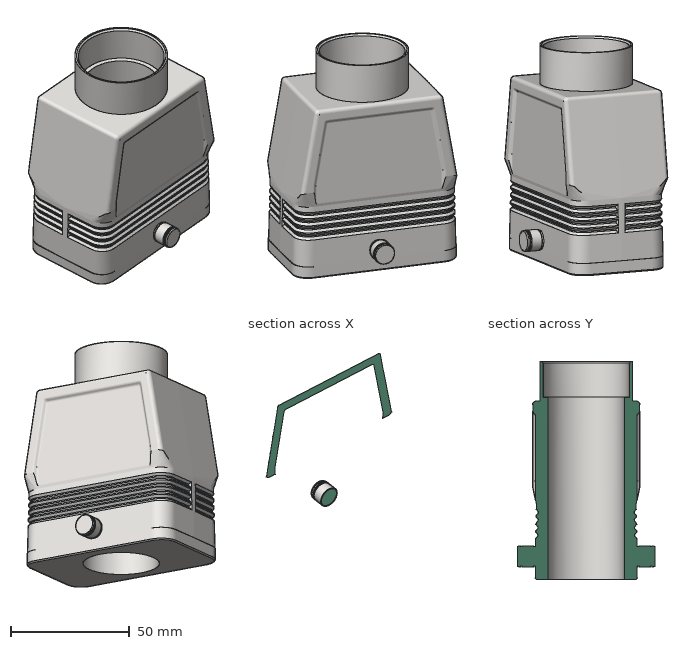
import cadquery as cq
import math

TOTAL_HEIGHT = 91.75
HOOD_TOP = 75.2
FLARE_TOP = 38.9
BODY_TOP = 31.9
BAND_TOP = 5.3
BOTTOM_CHAMFER = 0.55

BAND_HALF_X = 21.6
BAND_HALF_Y = 36.5
BAND_RADIUS = 7.25

BODY_TAPER = 0.5
BODY_RADIUS = 6.9
BODY_RIDGE_SLOPE = 0.02

GROOVE_BOTTOM = 17.25
GROOVE_TOP = 29.5
GROOVE_COUNT = 4
GROOVE_DEPTH = 0.9
GROOVE_LAND = 0.55
GROOVE_FLOOR = 0.55
BRIDGE_HALF_WIDTH = 1.3
BRIDGE_FLARE = 1.0

HOOD_HALF_X = 22.6
HOOD_END_SLOPE = 0.175
HOOD_RIDGE_SLOPE = 0.008
HOOD_FILLET = 1.65
FLARE_END_SLOPE = 0.115

PANEL_DEPTH = 1.2
PANEL_TOP = 70.4
PANEL_KNEE = 41.6
PANEL_HALF_TOP = 24.3
PANEL_HALF_BOTTOM = 29.3
PANEL_WALL_RUN = 1.1
PANEL_CORNER = 1.4
PANEL_EDGE_FILLET = 0.9

PICK_MARGIN = 0.1

TUBE_RADIUS = 19.5
TUBE_BORE_RADIUS = 18.1
TUBE_BORE_CHAMFER = 0.7
TUBE_ROOT = 55.05
TUBE_BORE_FLOOR = 76.7
THROUGH_RADIUS = 16.1

PIN_RADIUS = 4.5
PIN_HEIGHT = 9.7
PIN_TIP = 29.0
PIN_ROOT = 18.35
PIN_TIP_CHAMFER_LENGTH = 0.6
PIN_TIP_CHAMFER_DROP = 0.3
PIN_GROOVE_START = 27.0
PIN_GROOVE_END = 27.6
PIN_NECK_END = 22.3
PIN_UNDERCUT = 0.3


def outline(z, half_x, half_y, radius, ridge_slope):
    """Rounded rectangle whose two Y sides rise by ridge_slope to a point at X = 0."""
    tilt = math.atan(ridge_slope)
    end_angle = math.pi / 2 - tilt
    middle_angle = end_angle / 2
    center_x = half_x - radius
    center_y = half_y - ridge_slope * center_x - radius / math.cos(tilt)

    def corner(sign_x, sign_y, angle):
        x = center_x + radius * math.cos(angle)
        y = center_y + radius * math.sin(angle)
        return (sign_x * x, sign_y * y)

    return (
        cq.Workplane("XY", origin=(0, 0, z))
        .moveTo(*corner(1, -1, 0))
        .lineTo(*corner(1, 1, 0))
        .threePointArc(corner(1, 1, middle_angle), corner(1, 1, end_angle))
        .lineTo(0, half_y)
        .lineTo(*corner(-1, 1, end_angle))
        .threePointArc(corner(-1, 1, middle_angle), corner(-1, 1, 0))
        .lineTo(*corner(-1, -1, 0))
        .threePointArc(corner(-1, -1, middle_angle), corner(-1, -1, end_angle))
        .lineTo(0, -half_y)
        .lineTo(*corner(1, -1, end_angle))
        .threePointArc(corner(1, -1, middle_angle), corner(1, -1, 0))
        .close()
        .wires()
        .val()
    )


def ruled_solid(*wires):
    return cq.Workplane(cq.Solid.makeLoft(list(wires), True))


def body_half_sizes(z):
    shrink = BODY_TAPER * (z - BAND_TOP) / (BODY_TOP - BAND_TOP)
    return BAND_HALF_X - shrink, BAND_HALF_Y - shrink


def body_outline(z, inset=0.0):
    half_x, half_y = body_half_sizes(z)
    return outline(z, half_x - inset, half_y - inset, BODY_RADIUS - inset, BODY_RIDGE_SLOPE)


def make_band():
    chamfered = outline(
        0,
        BAND_HALF_X - BOTTOM_CHAMFER,
        BAND_HALF_Y - BOTTOM_CHAMFER,
        BAND_RADIUS - BOTTOM_CHAMFER,
        0,
    )
    full = [
        outline(z, BAND_HALF_X, BAND_HALF_Y, BAND_RADIUS, 0)
        for z in (BOTTOM_CHAMFER, BAND_TOP)
    ]
    return ruled_solid(chamfered, *full)


def make_grooved_body():
    """Stack of tapered slices: each groove is a flank, a floor and a flank."""
    pitch = (GROOVE_TOP - GROOVE_BOTTOM + GROOVE_LAND) / GROOVE_COUNT
    flank = (pitch - GROOVE_LAND - GROOVE_FLOOR) / 2
    wires = [body_outline(BAND_TOP)]
    for i in range(GROOVE_COUNT):
        start = GROOVE_BOTTOM + i * pitch
        wires.append(body_outline(start))
        wires.append(body_outline(start + flank, GROOVE_DEPTH))
        wires.append(body_outline(start + flank + GROOVE_FLOOR, GROOVE_DEPTH))
        wires.append(body_outline(start + 2 * flank + GROOVE_FLOOR))
    wires.append(body_outline(BODY_TOP))
    return ruled_solid(*wires)


def make_bridges():
    """Plain strips at the middle of both end faces, where the grooves stop."""
    inner_half = BRIDGE_HALF_WIDTH + BRIDGE_FLARE
    outer_y = BAND_HALF_Y
    inner_y = BAND_HALF_Y - BODY_TAPER - GROOVE_DEPTH
    strip = (
        cq.Workplane("XY", origin=(0, 0, GROOVE_BOTTOM))
        .polyline([
            (-BRIDGE_HALF_WIDTH, outer_y),
            (BRIDGE_HALF_WIDTH, outer_y),
            (inner_half, inner_y),
            (inner_half, -inner_y),
            (BRIDGE_HALF_WIDTH, -outer_y),
            (-BRIDGE_HALF_WIDTH, -outer_y),
            (-inner_half, -inner_y),
            (-inner_half, inner_y),
        ])
        .close()
        .extrude(GROOVE_TOP - GROOVE_BOTTOM)
    )
    plain = ruled_solid(body_outline(GROOVE_BOTTOM), body_outline(GROOVE_TOP))
    return strip.intersect(plain)


def make_wedge():
    bottom_half_y = body_half_sizes(BODY_TOP)[1]
    top_half_y = bottom_half_y - HOOD_END_SLOPE * (HOOD_TOP - BODY_TOP)
    sharp = []
    for z, half_y in ((BODY_TOP, bottom_half_y), (HOOD_TOP, top_half_y)):
        side_y = half_y - HOOD_RIDGE_SLOPE * HOOD_HALF_X
        sharp.append(
            cq.Workplane("XY", origin=(0, 0, z))
            .polyline([
                (HOOD_HALF_X, -side_y),
                (HOOD_HALF_X, side_y),
                (0, half_y),
                (-HOOD_HALF_X, side_y),
                (-HOOD_HALF_X, -side_y),
                (0, -half_y),
            ])
            .close()
            .wires()
            .val()
        )
    wedge = ruled_solid(*sharp)
    corners = wedge.edges("<X or >X").edges("not #Z")
    return corners.add(wedge.edges(">Z")).fillet(HOOD_FILLET)


def panel_outline(x, inset):
    top = PANEL_TOP - inset
    half_top = PANEL_HALF_TOP - inset
    half_bottom = PANEL_HALF_BOTTOM - inset
    return (
        cq.Workplane("YZ", origin=(x, 0, 0))
        .polyline([
            (-half_bottom, BODY_TOP),
            (-half_bottom, PANEL_KNEE),
            (-half_top, top),
            (half_top, top),
            (half_bottom, PANEL_KNEE),
            (half_bottom, BODY_TOP),
        ])
        .close()
        .wires()
        .val()
    )


def make_panel_cutter():
    """Cutter for the +X panel, open at its lower end, with sloping walls."""
    floor_x = HOOD_HALF_X - PANEL_DEPTH
    cutter = ruled_solid(
        panel_outline(floor_x, PANEL_WALL_RUN), panel_outline(HOOD_HALF_X, 0)
    )
    top_box = cq.selectors.BoxSelector(
        (floor_x, -PANEL_HALF_BOTTOM, PANEL_KNEE + PANEL_WALL_RUN),
        (HOOD_HALF_X, PANEL_HALF_BOTTOM, HOOD_TOP),
    )
    cutter = cutter.edges("not #X").edges(top_box).fillet(PANEL_CORNER)
    return cutter.faces("<X").edges("not <Z").fillet(PANEL_EDGE_FILLET)


def make_hood():
    """Wedge with both panels, trimmed below FLARE_TOP by the flare that meets the body."""
    wedge = make_wedge()
    cutter = make_panel_cutter()
    wedge = wedge.cut(cutter).cut(cutter.mirror("YZ"))
    pick_y = PANEL_HALF_BOTTOM + PICK_MARGIN
    rim_box = cq.selectors.BoxSelector(
        (-HOOD_HALF_X - PICK_MARGIN, -pick_y, BODY_TOP + PICK_MARGIN),
        (HOOD_HALF_X + PICK_MARGIN, pick_y, PANEL_TOP + PICK_MARGIN),
    )
    for side in (">X", "<X"):
        wedge = wedge.faces(side).edges(rim_box).fillet(PANEL_EDGE_FILLET)

    bottom_half_y = body_half_sizes(BODY_TOP)[1]
    flare_half_y = bottom_half_y - FLARE_END_SLOPE * (FLARE_TOP - BODY_TOP)
    flare = ruled_solid(
        body_outline(BODY_TOP),
        outline(FLARE_TOP, HOOD_HALF_X, flare_half_y, HOOD_FILLET, BODY_RIDGE_SLOPE),
    )
    above = (
        cq.Workplane("XY", origin=(0, 0, FLARE_TOP))
        .rect(2 * BAND_HALF_Y, 2 * BAND_HALF_Y)
        .extrude(HOOD_TOP - FLARE_TOP)
    )
    return wedge.intersect(flare).union(wedge.intersect(above))


def make_pins():
    neck_radius = PIN_RADIUS - PIN_UNDERCUT
    pin = (
        cq.Workplane("XY", origin=(0, 0, PIN_HEIGHT))
        .polyline([
            (PIN_ROOT, 0),
            (PIN_ROOT, neck_radius),
            (PIN_NECK_END, neck_radius),
            (PIN_NECK_END, PIN_RADIUS),
            (PIN_GROOVE_START, PIN_RADIUS),
            (PIN_GROOVE_START, neck_radius),
            (PIN_GROOVE_END, neck_radius),
            (PIN_GROOVE_END, PIN_RADIUS),
            (PIN_TIP - PIN_TIP_CHAMFER_LENGTH, PIN_RADIUS),
            (PIN_TIP, PIN_RADIUS - PIN_TIP_CHAMFER_DROP),
            (PIN_TIP, 0),
        ])
        .close()
        .revolve(360, (0, 0, 0), (1, 0, 0))
    )
    return pin.union(pin.mirror("YZ"))


def make_tube():
    return (
        cq.Workplane("XY", origin=(0, 0, TUBE_ROOT))
        .circle(TUBE_RADIUS)
        .extrude(TOTAL_HEIGHT - TUBE_ROOT)
    )


def make_bore():
    profile = [
        (0, 0),
        (THROUGH_RADIUS, 0),
        (THROUGH_RADIUS, TUBE_BORE_FLOOR),
        (TUBE_BORE_RADIUS, TUBE_BORE_FLOOR),
        (TUBE_BORE_RADIUS, TOTAL_HEIGHT - TUBE_BORE_CHAMFER),
        (TUBE_BORE_RADIUS + TUBE_BORE_CHAMFER, TOTAL_HEIGHT),
        (0, TOTAL_HEIGHT),
    ]
    return cq.Workplane("XZ").polyline(profile).close().revolve(360, (0, 0, 0), (0, 1, 0))


result = (
    make_band()
    .union(make_grooved_body())
    .union(make_bridges())
    .union(make_hood())
    .union(make_pins())
    .union(make_tube())
    .cut(make_bore())
)